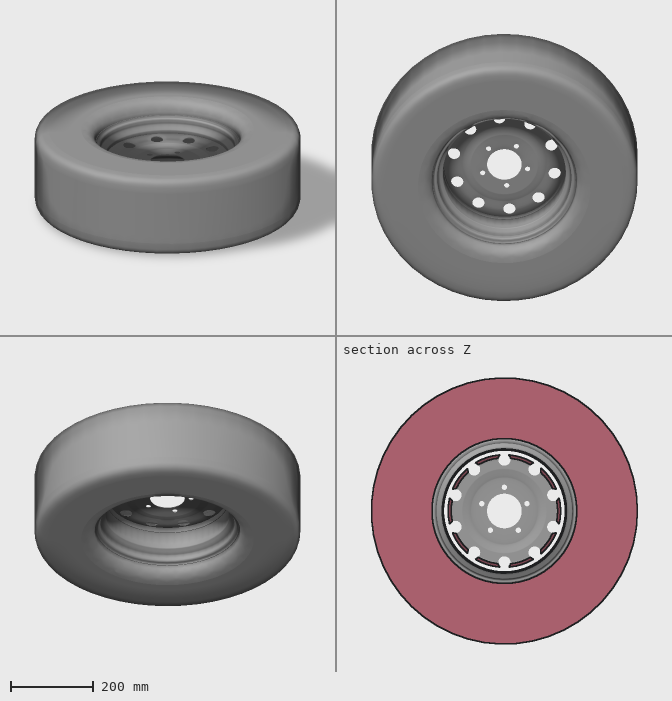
import cadquery as cq
import math


TIRE_RADIUS = 322.5
TIRE_WIDTH = 199.0
TIRE_ROUND = 34.0
SHOULDER_FULLNESS = 0.78
BEAD_FULLNESS = 0.62
TIRE_BORE_RADIUS = 175.0
HALF_WIDTH = TIRE_WIDTH / 2

RIM_SHEET = 2.0
LIP_RADIUS = TIRE_BORE_RADIUS - RIM_SHEET
LIP_TOP = HALF_WIDTH - TIRE_ROUND
LEDGE_HEIGHT = 61.0
SEAT_RADIUS = 162.5
WELL_RADIUS = 149.0
WELL_TOP = 36.0
WELL_BOTTOM = -32.0
CONE_HEIGHT = 11.0
LEDGE_INNER_ROUND = 4.0
LEDGE_OUTER_ROUND = 4.5
SEAT_ROUND = 4.5
WELL_ROUND = 4.0

DISC_SHEET = 2.0
HUB_FACE_HEIGHT = 17.5
HUB_FACE_RADIUS = 81.0
RING_INNER_RADIUS = 102.0
RING_OUTER_RADIUS = 126.5
DISC_SLOPE = math.tan(math.radians(13))
RING_HEIGHT = HUB_FACE_HEIGHT + (RING_INNER_RADIUS - HUB_FACE_RADIUS) * DISC_SLOPE
DISC_EDGE_HEIGHT = RING_HEIGHT + (WELL_RADIUS - RING_OUTER_RADIUS) * DISC_SLOPE
HUB_FACE_ROUND = 8.5
RING_INNER_ROUND = 8.5
RING_OUTER_ROUND = 31.0

SKIRT_END_HEIGHT = 11.5
SKIRT_RADIUS = WELL_RADIUS - DISC_SHEET
SKIRT_TOP = DISC_EDGE_HEIGHT - DISC_SHEET - DISC_SHEET * DISC_SLOPE

CENTRE_BORE_RADIUS = 42.0
BOLT_COUNT = 5
BOLT_CIRCLE_RADIUS = 57.5
BOLT_HOLE_DIAMETER = 13.0
VENT_COUNT = 10
VENT_CIRCLE_RADIUS = 124.5
VENT_DIAMETER = 29.5
FIRST_HOLE_ANGLE = 90


def rounded_outline(corners):
    """Close an outline in the XZ plane through (radius, height, rounding) corners."""
    outline = None
    for i, (x, z, rounding) in enumerate(corners):
        corner = cq.Vector(x, z)
        if rounding == 0:
            start = corner
        else:
            before = cq.Vector(*corners[i - 1][:2])
            after = cq.Vector(*corners[(i + 1) % len(corners)][:2])
            back = (before - corner).normalized()
            ahead = (after - corner).normalized()
            half_angle = back.getAngle(ahead) / 2
            setback = rounding / math.tan(half_angle)
            start = corner + back * setback
            end = corner + ahead * setback
            arc_depth = rounding / math.sin(half_angle) - rounding
            middle = corner + (back + ahead).normalized() * arc_depth
        if outline is None:
            outline = cq.Workplane("XZ").moveTo(start.x, start.y)
        else:
            outline = outline.lineTo(start.x, start.y)
        if rounding > 0:
            outline = outline.threePointArc((middle.x, middle.y), (end.x, end.y))
    return outline.close()


def revolved(corners):
    """Turn a rounded outline one full turn about the axle."""
    return rounded_outline(corners).revolve(360, (0, 0, 0), (0, 1, 0))


def tire_corner(radius, side, fullness):
    """List the four Bezier points of an upper tire corner, from the side wall's face to the corner's
    cylinder. The side is 1 where the rubber ends at a larger radius and -1 where it ends at a smaller one.
    """
    handle_gap = TIRE_ROUND * (1 - fullness)
    return [
        (radius - side * TIRE_ROUND, HALF_WIDTH),
        (radius - side * handle_gap, HALF_WIDTH),
        (radius, HALF_WIDTH - handle_gap),
        (radius, HALF_WIDTH - TIRE_ROUND),
    ]


def make_tire():
    shoulder = tire_corner(TIRE_RADIUS, 1, SHOULDER_FULLNESS)
    bead = tire_corner(TIRE_BORE_RADIUS, -1, BEAD_FULLNESS)
    lower_shoulder = [(x, -z) for x, z in shoulder]
    lower_bead = [(x, -z) for x, z in bead]
    section = cq.Workplane("XZ").moveTo(TIRE_BORE_RADIUS, 0)
    for curve in (bead[::-1], shoulder, lower_shoulder[::-1], lower_bead):
        section = section.lineTo(*curve[0]).bezier(curve[1:], includeCurrent=True)
    return section.close().revolve(360, (0, 0, 0), (0, 1, 0))


def rim_steps(well_end):
    """List the inner skin's corners on the upper half, from the lip in to the end of the well."""
    return [
        (LIP_RADIUS, LEDGE_HEIGHT, LEDGE_INNER_ROUND),
        (SEAT_RADIUS, LEDGE_HEIGHT, LEDGE_OUTER_ROUND),
        (SEAT_RADIUS, well_end + CONE_HEIGHT, SEAT_ROUND),
        (WELL_RADIUS, well_end, WELL_ROUND),
    ]


def rim_half(well_end):
    """List the inner and outer skins' corners on the upper half, each from the lip in to the well."""
    inner_steps = rim_steps(well_end)
    outer_steps = [(x + RIM_SHEET, z - RIM_SHEET, rounding) for x, z, rounding in inner_steps]
    inner_skin = [(LIP_RADIUS, LIP_TOP, 0)] + inner_steps
    outer_skin = [(TIRE_BORE_RADIUS, LIP_TOP, 0)] + outer_steps
    return inner_skin, outer_skin


def flipped(corners):
    """Mirror corners across mid-width."""
    return [(x, -z, rounding) for x, z, rounding in corners]


def make_rim():
    upper_inner, upper_outer = rim_half(WELL_TOP)
    lower_inner, lower_outer = rim_half(-WELL_BOTTOM)
    inner_skin = upper_inner + flipped(lower_inner)[::-1]
    outer_skin = flipped(lower_outer) + upper_outer[::-1]
    return revolved(inner_skin + outer_skin)


def drill_ring(body, count, circle_radius, diameter):
    """Drill a ring of equally spaced holes right through along Z."""
    return (
        body.copyWorkplane(cq.Workplane("XY"))
        .polarArray(circle_radius, FIRST_HOLE_ANGLE, 360, count)
        .circle(diameter / 2)
        .cutThruAll()
    )


def make_disc():
    upper_face = [
        (CENTRE_BORE_RADIUS, HUB_FACE_HEIGHT, 0),
        (HUB_FACE_RADIUS, HUB_FACE_HEIGHT, HUB_FACE_ROUND),
        (RING_INNER_RADIUS, RING_HEIGHT, RING_INNER_ROUND),
        (RING_OUTER_RADIUS, RING_HEIGHT, RING_OUTER_ROUND),
        (WELL_RADIUS, DISC_EDGE_HEIGHT, 0),
    ]
    lower_face = [(x, z - DISC_SHEET, rounding) for x, z, rounding in upper_face[:-1]]
    skirt = [
        (WELL_RADIUS, SKIRT_END_HEIGHT, 0),
        (SKIRT_RADIUS, SKIRT_END_HEIGHT, 0),
        (SKIRT_RADIUS, SKIRT_TOP, 0),
    ]
    disc = revolved(upper_face + skirt + lower_face[::-1])
    disc = drill_ring(disc, BOLT_COUNT, BOLT_CIRCLE_RADIUS, BOLT_HOLE_DIAMETER)
    return drill_ring(disc, VENT_COUNT, VENT_CIRCLE_RADIUS, VENT_DIAMETER)


tire = make_tire()
rim = make_rim()
disc = make_disc()

result = cq.Compound.makeCompound([tire.val(), rim.val(), disc.val()])